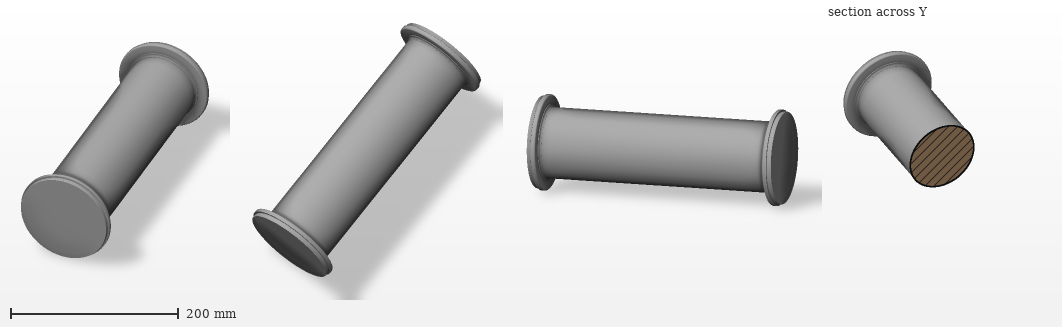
import cadquery as cq

length = 305.0
flange_radius = 57.8
tube_radius = 42.7

cap_radius = 55.8
cap_thickness = 4.5
cap_edge_length = 1.2
cap_edge_inset = 0.3
seat_radius = 55.2
flange_front = 5.5
flange_back = 10.7
flange_edge_round = 1.8
collar_radius = 46.0
neck_start = 11.5
neck_fillet = 2.0
neck_radius = 43.0
neck_end = 14.0

notch_width = 2.7
notch_depth = 0.45
notch_start = cap_edge_length
notch_end = cap_thickness

half_length = length / 2


def solid_end():
    """Half of the spool, revolved about Y, with its cap at the -Y end."""
    face_y = -half_length
    fillet_edge_radius = neck_radius + neck_fillet
    profile = (
        cq.Workplane("XY")
        .moveTo(0, face_y)
        .lineTo(cap_radius - cap_edge_inset, face_y)
        .lineTo(cap_radius, face_y + cap_edge_length)
        .lineTo(cap_radius, face_y + cap_thickness)
        .lineTo(seat_radius, face_y + cap_thickness)
        .lineTo(seat_radius, face_y + flange_front)
        .lineTo(flange_radius, face_y + flange_front)
        .lineTo(flange_radius, face_y + flange_back - flange_edge_round)
        .radiusArc((flange_radius - flange_edge_round, face_y + flange_back), -flange_edge_round)
        .lineTo(collar_radius, face_y + flange_back)
        .lineTo(collar_radius, face_y + neck_start)
        .lineTo(fillet_edge_radius, face_y + neck_start)
        .radiusArc((neck_radius, face_y + neck_start + neck_fillet), neck_fillet)
        .lineTo(neck_radius, face_y + neck_end)
        .lineTo(tube_radius, face_y + neck_end)
        .lineTo(tube_radius, 0)
        .lineTo(0, 0)
        .close()
    )
    return profile.revolve(360, (0, 0, 0), (0, 1, 0))


def rim_notch():
    """Cutter for the notch at the top of the -Y cap rim."""
    return cq.Workplane("XY").box(
        notch_width, notch_end - notch_start, 2 * notch_depth, centered=(True, False, True)
    ).translate((0, notch_start - half_length, cap_radius))


end = solid_end().cut(rim_notch())
result = end.union(end.mirror("XZ"))